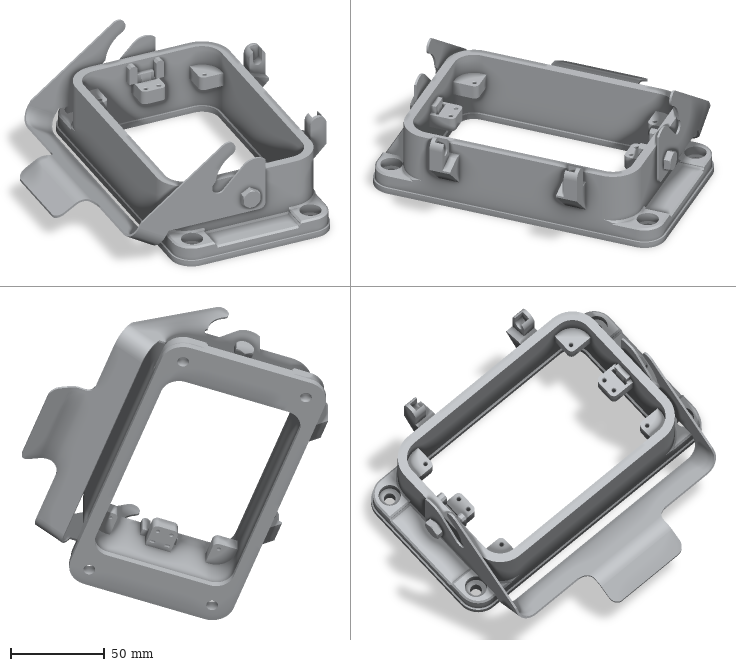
import cadquery as cq
import math

flange_x, flange_y, flange_h = 167.5, 93.0, 3.5
flange_corner = 12.2
block_inset = 1.0
block_x = flange_x - 2 * block_inset
block_y = flange_y - 2 * block_inset
block_corner = flange_corner - block_inset
pad_top = 11.5
channel_floor = 9.0
channel_half = 25.0
edge_chamfer = 1.0
wall_foot = 1.0

frame_x, frame_y, frame_top = 135.5, block_y, 40.3
frame_corner = 16.2
wall = 5.0
cavity_x, cavity_y = frame_x - 2 * wall, frame_y - 2 * wall
cavity_corner = frame_corner - wall
lip = 1.2
lip_h = 3.5

screw_x, screw_y = 73.8, 35.0
screw_d, screw_head_d, screw_head_depth = 6.3, 11.9, 5.0

tab_bottom, tab_top = 21.0, 28.8
tab_inner_x = 48.7
corner_tab_inner_y = 27.2
middle_tab_half = 7.2
tab_corner = 2.8
tab_hole_d = 2.2
tab_sink_d = 2.9
tab_hole_x = 51.9
corner_hole_y, middle_hole_y = 30.9, 3.85
clip_face_x = 60.0
clip_half, clip_top = 4.85, 33.0
window_inner_x, window_half = 58.4, 5.6
ramp_half = 2.9
stub_inner_x, stub_near_y, stub_far_y = 58.7, 5.6, 10.2
stub_top, stub_chamfer = 39.5, 1.3

hook_outer_x, hook_inner_x = 42.4, 30.5
hook_plate_x = 34.9
hook_pocket_floor = 40.2
hook_near_y, hook_far_y = 49.65, 59.1
hook_top, hook_ledge, hook_heel, hook_root = 47.5, 34.2, 29.8, 16.4
hook_shelf_tip = 31.0
hook_slot_w, hook_slot_bottom = 5.2, 38.0

bolt_z = 27.7
shank_d = 7.6
head_flats, head_start_x, head_end_x, head_chamfer = 9.9, 71.3, 75.0, 0.7

lever_half_x, sheet = 70.5, 1.2
lever_bend = 9.4
cross_tilt = math.radians(31)
cross_len = 18.1
cross_y, cross_z = -54.0, 6.5
arm_rear_y, arm_bottom_z, arm_corner = 10.0, 17.7, 3.6
arm_shoulder = 3.2
finger_y, finger_z, finger_r = -11.9, 59.5, 4.2
finger_slope = math.atan2(3, 4)
latch_y, latch_z, latch_r = -17.5, 37.5, 4.0
throat_point = (-16.2, 50.0)
ramp_end = (-2.5, 47.2)
horn_crest = (3.8, 49.9)
horn_rear_z = 47.7
grip_half, grip_bend, grip_corner, grip_flare = 25.1, 9.4, 5.0, 5.6
grip_straight = 13.68
grip_run = 3.4


def rounded_block(size_x, size_y, z_from, z_to, radius):
    height = z_to - z_from
    block = cq.Workplane("XY").box(size_x, size_y, height, centered=(True, True, False))
    return block.edges("|Z").fillet(radius).translate((0, 0, z_from))


def box(x_from, x_to, y_from, y_to, z_from, z_to):
    size = (x_to - x_from, y_to - y_from, z_to - z_from)
    return cq.Workplane("XY").box(*size, centered=False).translate((x_from, y_from, z_from))


def extrude_x(outline, x_from, x_to):
    """Extrude an outline drawn in the YZ plane from one X position to another."""
    return outline.extrude(x_to - x_from).translate((x_from, 0, 0))


def both_sides(body):
    return body.union(body.mirror("YZ"))


def make_channel():
    """Space between the pads: sloped at the pad edge and at the foot of the step."""
    channel = (
        cq.Workplane("YZ").moveTo(-channel_half - edge_chamfer, pad_top)
        .lineTo(-channel_half, pad_top - edge_chamfer).lineTo(-channel_half, channel_floor + edge_chamfer)
        .lineTo(-channel_half + edge_chamfer, channel_floor).lineTo(-channel_half + edge_chamfer, 0)
        .lineTo(channel_half - edge_chamfer, 0).lineTo(channel_half - edge_chamfer, channel_floor)
        .lineTo(channel_half, channel_floor + edge_chamfer).lineTo(channel_half, pad_top - edge_chamfer)
        .lineTo(channel_half + edge_chamfer, pad_top).close()
    )
    return channel.extrude(flange_x, both=True)


def make_base():
    base = rounded_block(flange_x, flange_y, 0, flange_h, flange_corner)
    ledge = rounded_block(block_x, block_y, 0, channel_floor, block_corner)
    base = base.union(ledge.faces(">Z").edges().chamfer(edge_chamfer))
    pads = rounded_block(block_x, block_y, 0, pad_top, block_corner)
    pads = pads.faces(">Z").edges().chamfer(edge_chamfer)
    return base.union(pads.cut(make_channel()))


def make_wall_foot(floor):
    """Sloped skirt around the wall, standing on the given floor height."""
    skirt = rounded_block(
        frame_x + 2 * wall_foot, frame_y + 2 * wall_foot, 0, floor + wall_foot, frame_corner + wall_foot
    )
    skirt = skirt.faces(">Z").edges().chamfer(wall_foot)
    return skirt.intersect(box(-flange_x, flange_x, -frame_y / 2, frame_y / 2, 0, frame_top))


def make_shell():
    shell = make_base()
    shell = shell.union(make_wall_foot(channel_floor))
    pad_foot = make_wall_foot(pad_top)
    shell = shell.union(
        pad_foot.cut(box(-flange_x, flange_x, -channel_half, channel_half, 0, frame_top))
    )
    shell = shell.union(rounded_block(frame_x, frame_y, 0, frame_top, frame_corner))
    shell = shell.cut(rounded_block(cavity_x, cavity_y, lip_h, frame_top, cavity_corner))
    opening = rounded_block(cavity_x - 2 * lip, cavity_y - 2 * lip, 0, lip_h, cavity_corner - lip)
    return shell.cut(opening)


def cut_screw_holes(body):
    spots = [(sx * screw_x, sy * screw_y) for sx in (-1, 1) for sy in (-1, 1)]
    floor = pad_top - screw_head_depth
    heads = cq.Workplane("XY").workplane(offset=floor).pushPoints(spots).circle(screw_head_d / 2)
    holes = cq.Workplane("XY").pushPoints(spots).circle(screw_d / 2)
    return body.cut(heads.extrude(screw_head_depth + wall_foot)).cut(holes.extrude(pad_top))


def cut_tab_holes(tab, spots):
    holes = cq.Workplane("XY").pushPoints(spots).circle(tab_hole_d / 2).extrude(tab_top)
    sink_h = (tab_sink_d - tab_hole_d) / 2
    sink = cq.Solid.makeCone(tab_hole_d / 2, tab_sink_d / 2, sink_h)
    for x, y in spots:
        holes = holes.union(cq.Workplane(sink.translate(cq.Vector(x, y, tab_top - sink_h))))
    return tab.cut(holes)


def make_corner_tab():
    tab = box(tab_inner_x, frame_x / 2, corner_tab_inner_y, frame_y / 2, tab_bottom, tab_top)
    tab = tab.edges("|Z and <X and <Y").fillet(tab_corner)
    tab = tab.intersect(
        rounded_block(frame_x - wall, frame_y - wall, tab_bottom, tab_top, frame_corner - wall / 2)
    )
    return cut_tab_holes(tab, [(tab_hole_x, corner_hole_y)])


def make_middle_tab():
    wall_mid_x = (frame_x - wall) / 2
    tab = box(tab_inner_x, wall_mid_x, -middle_tab_half, middle_tab_half, tab_bottom, tab_top)
    tab = tab.edges("|Z and <X").fillet(tab_corner)
    tab = cut_tab_holes(tab, [(tab_hole_x, -middle_hole_y), (tab_hole_x, middle_hole_y)])
    windows = box(window_inner_x, clip_face_x, -window_half, window_half, tab_bottom, tab_top)
    clip = box(clip_face_x, wall_mid_x, -clip_half, clip_half, tab_bottom, clip_top)
    ramp = (
        cq.Workplane("XZ").moveTo(window_inner_x, tab_bottom).lineTo(clip_face_x, tab_bottom)
        .lineTo(clip_face_x, clip_top).close().extrude(ramp_half, both=True)
    )
    return tab.cut(windows).union(clip).union(ramp)


def make_stubs():
    """Two chamfered stubs beside the clip, on the -X wall only."""
    stub = box(-(frame_x - wall) / 2, -stub_inner_x, stub_near_y, stub_far_y, tab_top, stub_top)
    stub = stub.faces(">Z").edges("|X").chamfer(stub_chamfer)
    return stub.union(stub.mirror("XZ"))


def make_hook():
    """Rear hook on the +X side: a tall pocketed plate with a lower sloped shelf beside it."""
    tip_r = (hook_far_y - hook_near_y) / 2
    mid_y = hook_near_y + tip_r
    root_y = frame_y / 2 - wall / 2
    root_z = hook_root - wall / 2
    plate = extrude_x(
        cq.Workplane("YZ").moveTo(root_y, root_z).lineTo(hook_far_y, hook_heel)
        .lineTo(hook_far_y, hook_top - tip_r)
        .threePointArc((mid_y, hook_top), (hook_near_y, hook_top - tip_r))
        .lineTo(hook_near_y, hook_ledge).lineTo(root_y, hook_ledge).close(),
        hook_plate_x, hook_outer_x,
    )
    shelf = extrude_x(
        cq.Workplane("YZ").moveTo(root_y, root_z).lineTo(hook_far_y, hook_heel)
        .lineTo(hook_far_y, hook_shelf_tip).lineTo(hook_near_y, hook_ledge)
        .lineTo(root_y, hook_ledge).close(),
        hook_inner_x, hook_plate_x,
    )
    slot_r = hook_slot_w / 2
    slot_z = hook_slot_bottom + slot_r
    pocket = extrude_x(
        cq.Workplane("YZ").moveTo(mid_y + slot_r, hook_top).lineTo(mid_y + slot_r, slot_z)
        .threePointArc((mid_y, hook_slot_bottom), (mid_y - slot_r, slot_z))
        .lineTo(mid_y - slot_r, hook_top).close(),
        hook_plate_x, hook_pocket_floor,
    )
    return plate.union(shelf).cut(pocket)


def make_bolt():
    """Pivot bolt on the +X wall: a round shank with a hexagon head, a corner pointing up."""
    shank = extrude_x(
        cq.Workplane("YZ").center(0, bolt_z).circle(shank_d / 2), (frame_x - wall) / 2, head_start_x
    )
    head_corners = head_flats / math.cos(math.pi / 6)
    head = cq.Workplane("YZ").center(0, bolt_z).polygon(6, head_corners)
    head = extrude_x(head, head_start_x, head_end_x).rotate((0, 0, bolt_z), (1, 0, bolt_z), 30)
    turned = cq.Workplane("YZ").center(0, bolt_z).circle(head_corners / 2)
    turned = extrude_x(turned, head_start_x, head_end_x)
    return shank.union(head.intersect(turned.faces(">X").edges().chamfer(head_chamfer)))


def make_housing():
    housing = cut_screw_holes(make_shell())
    corner_tab = make_corner_tab()
    housing = housing.union(both_sides(corner_tab.union(corner_tab.mirror("XZ"))))
    housing = housing.union(both_sides(make_middle_tab())).union(make_stubs())
    return housing.union(both_sides(make_hook())).union(both_sides(make_bolt()))


def cross_point(along, up):
    """YZ point at a distance along the cross plate and up from its outside face."""
    c, s = math.cos(cross_tilt), math.sin(cross_tilt)
    return (cross_y - along * c + up * s, cross_z + along * s + up * c)


def make_arm():
    """Flat side plate of the lever on the +X side, with its latch slot."""
    bottom_up = (arm_bottom_z - cross_z) / math.cos(cross_tilt)
    diag = math.sqrt(0.5)
    inset = arm_corner * (1 - diag)
    finger_c = finger_r * math.cos(finger_slope)
    finger_s = finger_r * math.sin(finger_slope)
    seat_y = latch_r * math.sin(cross_tilt)
    seat_z = latch_r * math.cos(cross_tilt)
    outline = (
        cq.Workplane("YZ").moveTo(arm_rear_y, arm_bottom_z + arm_corner)
        .threePointArc((arm_rear_y - inset, arm_bottom_z + inset), (arm_rear_y - arm_corner, arm_bottom_z))
        .lineTo(*cross_point(0, bottom_up))
        .lineTo(*cross_point(0, lever_bend))
        .lineTo(*cross_point(cross_len, lever_bend))
        .lineTo(*cross_point(cross_len, lever_bend + arm_shoulder))
        .lineTo(finger_y - finger_s, finger_z + finger_c)
        .threePointArc((finger_y + finger_c, finger_z + finger_s), (finger_y + finger_s, finger_z - finger_c))
        .threePointArc(throat_point, (latch_y - seat_y, latch_z + seat_z))
        .threePointArc((latch_y - seat_y, latch_z - seat_z),
                       (latch_y + latch_r * diag, latch_z - latch_r * diag))
        .lineTo(*ramp_end)
        .threePointArc(horn_crest, (arm_rear_y, horn_rear_z))
        .close()
    )
    arm = extrude_x(outline, lever_half_x - sheet, lever_half_x)
    hole = extrude_x(cq.Workplane("YZ").center(0, bolt_z).circle(shank_d / 2), 0, lever_half_x)
    return arm.cut(hole)


def make_cross_plate():
    """Tilted plate joining the arms, with a round bend at both ends."""
    plane = cq.Plane(
        origin=(0, cross_y, cross_z), xDir=(1, 0, 0),
        normal=(0, -math.cos(cross_tilt), math.sin(cross_tilt)),
    )
    diag = math.sqrt(0.5)
    inner_bend = lever_bend - sheet
    bend_x = lever_half_x - lever_bend
    return (
        cq.Workplane(plane).moveTo(-lever_half_x, lever_bend)
        .threePointArc((-bend_x - lever_bend * diag, lever_bend * (1 - diag)), (-bend_x, 0))
        .lineTo(bend_x, 0)
        .threePointArc((bend_x + lever_bend * diag, lever_bend * (1 - diag)), (lever_half_x, lever_bend))
        .lineTo(lever_half_x - sheet, lever_bend)
        .threePointArc((bend_x + inner_bend * diag, lever_bend - inner_bend * diag), (bend_x, sheet))
        .lineTo(-bend_x, sheet)
        .threePointArc((-bend_x - inner_bend * diag, lever_bend - inner_bend * diag),
                       (sheet - lever_half_x, lever_bend))
        .close().extrude(cross_len)
    )


def make_grip():
    """Finger grip: continues the cross plate, then bends over and slopes down."""
    c, s = math.cos(cross_tilt), math.sin(cross_tilt)
    bend_start = cross_len + grip_run
    start_out = cross_point(bend_start, sheet)
    start_in = cross_point(bend_start, 0)
    centre_y = start_out[0] - grip_bend * s
    centre_z = start_out[1] - grip_bend * c
    inner_bend = grip_bend - sheet
    end_out = (centre_y - grip_bend * s, centre_z + grip_bend * c)
    end_in = (centre_y - inner_bend * s, centre_z + inner_bend * c)
    tip_out = (end_out[0] - grip_straight * c, end_out[1] - grip_straight * s)
    tip_in = (end_in[0] - grip_straight * c, end_in[1] - grip_straight * s)
    root_out = cross_point(cross_len / 2, sheet)
    root_in = cross_point(cross_len / 2, 0)
    side = (
        cq.Workplane("YZ").moveTo(*root_out).lineTo(*start_out)
        .threePointArc((centre_y, centre_z + grip_bend), end_out)
        .lineTo(*tip_out).lineTo(*tip_in).lineTo(*end_in)
        .threePointArc((centre_y, centre_z + inner_bend), start_in)
        .lineTo(*root_in).close().extrude(lever_half_x, both=True)
    )
    edge_y = cross_point(cross_len, 0)[0]
    diag = math.sqrt(0.5)
    flare_x = grip_half + grip_flare
    flare_mid = (flare_x - grip_flare * diag, edge_y - grip_flare * (1 - diag))
    tip_y = tip_in[0]
    plan = (
        cq.Workplane("XY").moveTo(-flare_x, root_in[0]).lineTo(-flare_x, edge_y)
        .threePointArc((-flare_mid[0], flare_mid[1]), (-grip_half, edge_y - grip_flare))
        .lineTo(-grip_half, tip_y).lineTo(grip_half, tip_y)
        .lineTo(grip_half, edge_y - grip_flare)
        .threePointArc(flare_mid, (flare_x, edge_y))
        .lineTo(flare_x, root_in[0]).close().extrude(frame_top)
    )
    plan = plan.edges("|Z and <Y").fillet(grip_corner)
    return side.intersect(plan)


def make_lever():
    return make_cross_plate().union(both_sides(make_arm())).union(make_grip())


housing = make_housing()
lever = make_lever()

result = cq.Compound.makeCompound([housing.val(), lever.val()])